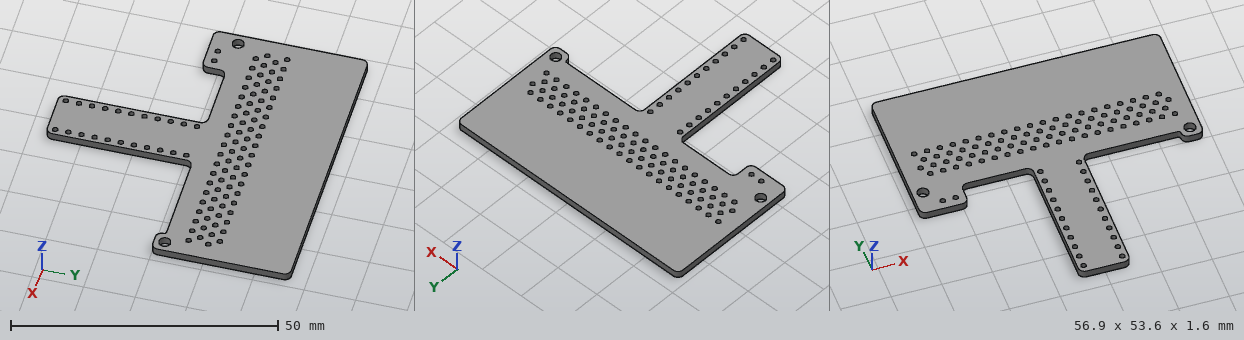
import cadquery as cq

BOARD_WIDTH = 56.9
BOARD_LENGTH = 53.59
THICKNESS = 1.6
CORNER_RADIUS = 1.27
TAB_ROOT_RADIUS = 0.45

LOWER_EDGE_Y = 28.5
STEM_WIDTH = 10.0
LEFT_TAB_WIDTH = 9.45
LEFT_TAB_DROP = 4.75
RIGHT_TAB_WIDTH = 4.2
RIGHT_TAB_DROP = 1.75

PITCH = 2.54
PIN_DIAMETER = 1.0

GRID_COLUMNS = 20
GRID_ROWS = 4
GRID_ROW_SPACING = 0.75 * PITCH
GRID_STAGGER = PITCH / 2
GRID_TOP_Y = 38.74

STEM_PINS_PER_SIDE = 11
STEM_PIN_SPACING = 3 * PITCH
STEM_FIRST_PIN_Y = 1.54
STEM_LAST_PIN_Y = STEM_FIRST_PIN_Y + (STEM_PINS_PER_SIDE - 1) * PITCH

TAB_PINS = 2
TAB_PIN_Y = STEM_LAST_PIN_Y - PITCH / 2

MOUNT_DIAMETER = 2.2
MOUNT_SPACING = 52.65
MOUNT_Y = STEM_LAST_PIN_Y + GRID_ROW_SPACING

GRID_LEFT_X = -((GRID_COLUMNS - 1) * PITCH + GRID_STAGGER) / 2
STAGGERED_LEFT_X = GRID_LEFT_X + GRID_STAGGER


def make_outline():
    """Return the corners of the board with the radius that rounds each one."""
    half_width = BOARD_WIDTH / 2
    half_stem = STEM_WIDTH / 2
    left_tab_x = -half_width + LEFT_TAB_WIDTH
    left_tab_y = LOWER_EDGE_Y - LEFT_TAB_DROP
    right_tab_x = half_width - RIGHT_TAB_WIDTH
    right_tab_y = LOWER_EDGE_Y - RIGHT_TAB_DROP
    return [
        (-half_width, BOARD_LENGTH, CORNER_RADIUS),
        (-half_width, left_tab_y, CORNER_RADIUS),
        (left_tab_x, left_tab_y, CORNER_RADIUS),
        (left_tab_x, LOWER_EDGE_Y, CORNER_RADIUS),
        (-half_stem, LOWER_EDGE_Y, CORNER_RADIUS),
        (-half_stem, 0, CORNER_RADIUS),
        (half_stem, 0, CORNER_RADIUS),
        (half_stem, LOWER_EDGE_Y, CORNER_RADIUS),
        (right_tab_x, LOWER_EDGE_Y, TAB_ROOT_RADIUS),
        (right_tab_x, right_tab_y, CORNER_RADIUS),
        (half_width, right_tab_y, CORNER_RADIUS),
        (half_width, BOARD_LENGTH, CORNER_RADIUS),
    ]


def make_board():
    """Extrude the outline and round each of its upright edges."""
    corners = make_outline()
    points = [(x, y) for x, y, _ in corners]
    board = cq.Workplane("XY").polyline(points).close().extrude(THICKNESS)
    for x, y, radius in corners:
        corner_edge = cq.selectors.NearestToPointSelector((x, y, THICKNESS / 2))
        board = board.edges(corner_edge).fillet(radius)
    return board


def pin_row(first_x, y, count):
    """Return hole centres for a row of pins running along +X."""
    return [(first_x + i * PITCH, y) for i in range(count)]


def grid_pins():
    """Four rows of pins, every second row shifted by half a pitch."""
    centres = []
    for row in range(GRID_ROWS):
        first_x = GRID_LEFT_X if row % 2 == 0 else STAGGERED_LEFT_X
        centres += pin_row(first_x, GRID_TOP_Y - row * GRID_ROW_SPACING, GRID_COLUMNS)
    return centres


def stem_pins():
    """One column of pins along each side of the stem."""
    centres = []
    for i in range(STEM_PINS_PER_SIDE):
        y = STEM_FIRST_PIN_Y + i * PITCH
        centres += [(-STEM_PIN_SPACING / 2, y), (STEM_PIN_SPACING / 2, y)]
    return centres


def drill(board, centres, diameter):
    """Cut holes of one diameter right through the board."""
    drills = cq.Workplane("XY").pushPoints(centres).circle(diameter / 2).extrude(THICKNESS)
    return board.cut(drills)


tab_pins = pin_row(STAGGERED_LEFT_X, TAB_PIN_Y, TAB_PINS)
mount_holes = [(side * MOUNT_SPACING / 2, MOUNT_Y) for side in (-1, 1)]

result = make_board()
result = drill(result, grid_pins() + stem_pins() + tab_pins, PIN_DIAMETER)
result = drill(result, mount_holes, MOUNT_DIAMETER)